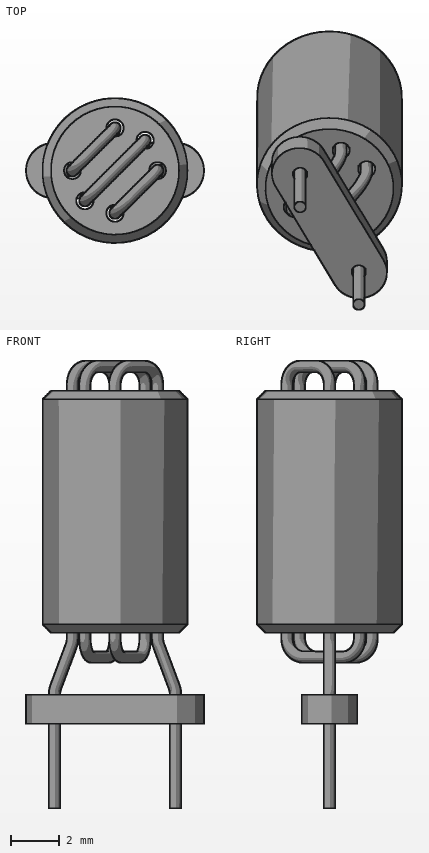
import cadquery as cq
import math


core_diameter = 6.0
core_height = 10.0
core_chamfer = 0.35
core_hole_diameter = 0.7
hole_circle_radius = 1.75
hole_angles = [0, 45, 90, 180, 225, 270]

plate_length = 7.36
plate_width = 2.3
plate_thickness = 1.2
plate_bottom = 3.5
plate_hole_diameter = 0.6

total_height = 18.5
wire_diameter = 0.48
bend_radius = 0.75
straight_stub = 0.24
lead_spacing = 5.0
upper_lead_corner_drop = 0.39
lower_lead_corner_rise = 0.18

plate_top = plate_bottom + plate_thickness
loop_rise = straight_stub + bend_radius
core_top = total_height - wire_diameter / 2 - loop_rise
core_bottom = core_top - core_height
upper_loop_z = core_top + loop_rise
lower_loop_z = core_bottom - loop_rise
lead_x = lead_spacing / 2


def hole_position(angle):
    """XY position of the core hole at an angle in degrees."""
    radians = math.radians(angle)
    return hole_circle_radius * math.cos(radians), hole_circle_radius * math.sin(radians)


def make_core():
    """Chamfered cylinder with six through holes."""
    return (
        cq.Workplane("XY", origin=(0, 0, core_bottom))
        .circle(core_diameter / 2)
        .extrude(core_height)
        .faces("<Z or >Z")
        .chamfer(core_chamfer)
        .faces(">Z")
        .workplane(origin=(0, 0, core_top))
        .pushPoints([hole_position(angle) for angle in hole_angles])
        .hole(core_hole_diameter)
    )


def make_base_plate():
    """Round-ended plate with a hole for each lead."""
    return (
        cq.Workplane("XY", origin=(0, 0, plate_bottom))
        .slot2D(plate_length, plate_width)
        .extrude(plate_thickness)
        .faces(">Z")
        .workplane()
        .pushPoints([(-lead_x, 0), (lead_x, 0)])
        .hole(plate_hole_diameter)
    )


def lead_corners(side):
    """Corners of one lead from its tip to the core; side is -1 or 1 along X."""
    return [
        cq.Vector(side * lead_x, 0, 0),
        cq.Vector(side * lead_x, 0, plate_top + lower_lead_corner_rise),
        cq.Vector(side * hole_circle_radius, 0, core_bottom - upper_lead_corner_drop),
    ]


def loop_corners(start_angle, end_angle, z):
    """Two corners of a loop that joins two core holes at height z."""
    return [cq.Vector(*hole_position(angle), z) for angle in (start_angle, end_angle)]


def rounded_path(corners):
    """Wire through the corners, with a tangent arc of bend_radius at each inner one."""
    edges = []
    line_start = corners[0]
    for before, corner, after in zip(corners, corners[1:], corners[2:]):
        incoming = (corner - before).normalized()
        outgoing = (after - corner).normalized()
        tangent_length = bend_radius * math.tan(incoming.getAngle(outgoing) / 2)
        arc_start = corner - incoming * tangent_length
        arc_end = corner + outgoing * tangent_length
        edges.append(cq.Edge.makeLine(line_start, arc_start))
        edges.append(cq.Edge.makeTangentArc(arc_start, incoming, arc_end))
        line_start = arc_end
    edges.append(cq.Edge.makeLine(line_start, corners[-1]))
    return cq.Wire.assembleEdges(edges)


def make_winding():
    """One continuous wire threaded through all six core holes, ending in two leads."""
    corners = (
        lead_corners(-1)
        + loop_corners(180, 90, upper_loop_z)
        + loop_corners(90, 225, lower_loop_z)
        + loop_corners(225, 45, upper_loop_z)
        + loop_corners(45, 270, lower_loop_z)
        + loop_corners(270, 0, upper_loop_z)
        + lead_corners(1)[::-1]
    )
    return (
        cq.Workplane("XY", origin=corners[0].toTuple())
        .circle(wire_diameter / 2)
        .sweep(rounded_path(corners))
    )


core = make_core()
base_plate = make_base_plate()
winding = make_winding()

result = cq.Compound.makeCompound([core.val(), base_plate.val(), winding.val()])